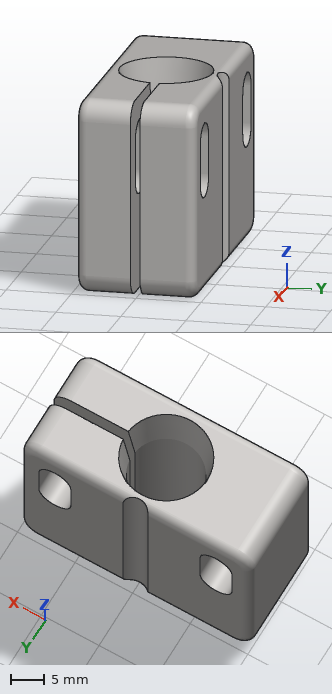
import cadquery as cq

length = 40.0
depth = 18.3
height = 30.0
corner_radius = 3.0
edge_radius = 1.5

bore_diameter = 12.0
mouth_diameter = 14.3
taper_depth = 6.4

gap_width = 1.5
gap_y = -0.1
screw_diameter = 5.0
screw_x = 10.25

groove_diameter = 5.0
groove_depth = 1.25

slot_width = 5.5
slot_length = 11.5
slot_spacing = 28.0
slot_z = 5.5

screw_z = -slot_z


def rounded_block():
    block = cq.Workplane("XY").box(length, depth, height)
    block = block.edges("|Y").fillet(corner_radius)
    return block.faces("<Y or >Y").edges().fillet(edge_radius)


def tapered_bore():
    bore = cq.Workplane("XY").circle(bore_diameter / 2).extrude(height, both=True)
    taper = (
        cq.Workplane("XY", origin=(0, 0, height / 2 - taper_depth))
        .circle(bore_diameter / 2)
        .workplane(offset=taper_depth)
        .circle(mouth_diameter / 2)
        .loft(ruled=True)
    )
    return bore.union(taper)


def clamping_gap():
    return (
        cq.Workplane("XY", origin=(0, gap_y, 0))
        .box(length, gap_width, height, centered=(False, True, True))
    )


def clamping_screw():
    return (
        cq.Workplane("XZ", origin=(screw_x, gap_y, screw_z))
        .circle(screw_diameter / 2)
        .extrude(gap_width / 2, both=True)
    )


def back_groove():
    groove_y = depth / 2 - groove_depth + groove_diameter / 2
    return (
        cq.Workplane("XY", origin=(0, groove_y, 0))
        .circle(groove_diameter / 2)
        .extrude(height, both=True)
    )


def mounting_slots():
    slot_centres = [(-slot_spacing / 2, slot_z), (slot_spacing / 2, slot_z)]
    return (
        cq.Workplane("XZ")
        .pushPoints(slot_centres)
        .slot2D(slot_length, slot_width, angle=90)
        .extrude(depth, both=True)
    )


result = (
    rounded_block()
    .cut(tapered_bore())
    .cut(clamping_gap())
    .cut(back_groove())
    .cut(mounting_slots())
    .union(clamping_screw())
)